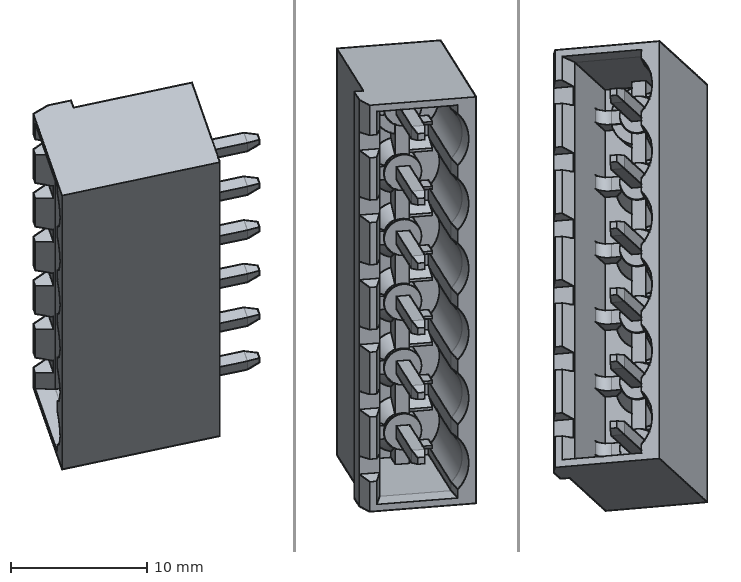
import cadquery as cq


pole_count = 6
pitch = 5.08
end_margin = 3.24
body_height = (pole_count - 1) * pitch + 2 * end_margin
body_width = 8.5
body_depth = 12.0
rail_projection = 0.7
rail_depth = 3.0
rail_chamfer_width = 0.5
rail_chamfer_depth = 1.25

cavity_depth = 9.0
mouth_depth = 1.38
cavity_left = 1.57
cavity_right = 6.91
cavity_end_wall = 0.64
mouth_flare_left = 0.54
mouth_flare_right = 0.21
mouth_flare_end = 0.1

bay_radius = 2.69
bay_center_x = 5.04
bay_start_x = 6.5

notch_mouth_width = 1.77
notch_floor_width = 1.42

pin_x = 4.62
pin_size = 1.0
pin_tip_size = 0.52
pin_tip_length = 1.0
pin_front_y = 1.17
pin_back_y = 16.0

collar_radius = 1.4
collar_height = 1.7
rib_width = 1.05
rib_height = 1.5
rib_fillet = 0.93
skirt_radius = 2.2
skirt_height = 1.35
ridge_inner = collar_radius
ridge_crest = 1.61
ridge_outer = 2.1
ridge_height = skirt_height

cavity_height = body_height - 2 * cavity_end_wall
pole_heights = [end_margin + pole * pitch for pole in range(pole_count)]
top_pole_z = pole_heights[-1]
overlap = 0.1


def box(x_range, y_range, z_range):
    """Axis-aligned box between pairs of limits."""
    return cq.Workplane("XY").box(
        x_range[1] - x_range[0],
        y_range[1] - y_range[0],
        z_range[1] - z_range[0],
        centered=False,
    ).translate((x_range[0], y_range[0], z_range[0]))


def facing_plane(x, y, z):
    """Work plane at a point, with its normal along +Y and its local axes along +X and -Z."""
    return cq.Workplane(cq.Plane(origin=(x, y, z), xDir=(1, 0, 0), normal=(0, 1, 0)))


def make_housing():
    outline = [
        (rail_chamfer_width, 0),
        (body_width, 0),
        (body_width, body_depth),
        (rail_projection, body_depth),
        (rail_projection, rail_depth),
        (0, rail_depth),
        (0, rail_chamfer_depth),
    ]
    return cq.Workplane("XY").polyline(outline).close().extrude(body_height)


def make_cavity():
    """Straight cavity plus the flared mouth that leads into it."""
    straight = box(
        (cavity_left, cavity_right),
        (0, cavity_depth),
        (cavity_end_wall, cavity_end_wall + cavity_height),
    )
    width = cavity_right - cavity_left
    mouth_width = width + mouth_flare_left + mouth_flare_right
    mouth_center_x = (cavity_left - mouth_flare_left + cavity_right + mouth_flare_right) / 2
    center_shift = (cavity_left + cavity_right) / 2 - mouth_center_x
    mouth = (
        facing_plane(mouth_center_x, 0, body_height / 2)
        .rect(mouth_width, cavity_height + 2 * mouth_flare_end)
        .workplane(offset=mouth_depth)
        .center(center_shift, 0)
        .rect(width, cavity_height)
        .loft(ruled=True)
    )
    return straight.union(mouth)


def make_bay(z):
    """Round bay with a conical mouth, kept to the right part of the cavity."""
    straight = facing_plane(bay_center_x, 0, z).circle(bay_radius).extrude(cavity_depth)
    mouth = (
        facing_plane(bay_center_x, 0, z)
        .circle(bay_radius + mouth_flare_right)
        .workplane(offset=mouth_depth)
        .circle(bay_radius)
        .loft()
    )
    right_side = box((bay_start_x, body_width), (0, cavity_depth), (z - pitch, z + pitch))
    return straight.union(mouth).intersect(right_side)


def make_notch(z):
    outline = [
        (0, z - notch_mouth_width / 2),
        (rail_chamfer_depth, z - notch_floor_width / 2),
        (rail_chamfer_depth, z + notch_floor_width / 2),
        (0, z + notch_mouth_width / 2),
    ]
    return cq.Workplane("YZ").polyline(outline).close().extrude(cavity_left)


def make_skirt(z):
    """Conical skirt left of the pin; the top pole has a plain round pad instead."""
    base = facing_plane(pin_x, cavity_depth + overlap, z).circle(skirt_radius).extrude(-overlap)
    if z == top_pole_z:
        skirt = facing_plane(pin_x, cavity_depth, z).circle(skirt_radius).extrude(-skirt_height)
    else:
        skirt = (
            facing_plane(pin_x, cavity_depth, z)
            .circle(skirt_radius)
            .workplane(offset=-skirt_height)
            .circle(collar_radius)
            .loft()
        )
    left_side = box((cavity_left, pin_x), (0, body_depth), (z - pitch, z + pitch))
    return base.union(skirt).intersect(left_side)


def make_ridge(z, side):
    """Ridge right of the pin, sloping away from it; side is +1 above the pin and -1 below."""
    crest_y = cavity_depth - ridge_height
    outline = [
        (cavity_depth + overlap, z + side * ridge_inner),
        (crest_y, z + side * ridge_inner),
        (crest_y, z + side * ridge_crest),
        (cavity_depth, z + side * ridge_outer),
        (cavity_depth + overlap, z + side * ridge_outer),
    ]
    ridge = cq.Workplane("YZ").polyline(outline).close().extrude(cavity_right - pin_x)
    return ridge.translate((pin_x, 0, 0))


def make_cross_rib(z):
    """Rib from the left wall to the pin, blending into the wall with a concave arc."""
    rib_top = cavity_depth - rib_height
    arc_middle = rib_fillet * (1 - 0.5**0.5)
    return (
        cq.Workplane("XY", origin=(0, 0, z))
        .moveTo(cavity_left, cavity_depth + overlap)
        .lineTo(cavity_left, rib_top - rib_fillet)
        .threePointArc(
            (cavity_left + arc_middle, rib_top - arc_middle),
            (cavity_left + rib_fillet, rib_top),
        )
        .lineTo(pin_x, rib_top)
        .lineTo(pin_x, cavity_depth + overlap)
        .close()
        .extrude(rib_width / 2, both=True)
    )


def make_long_rib():
    """Rib that joins all poles from end wall to end wall."""
    return box(
        (pin_x - rib_width / 2, pin_x + rib_width / 2),
        (cavity_depth - rib_height, cavity_depth + overlap),
        (cavity_end_wall, body_height - cavity_end_wall),
    )


def make_collar(z):
    base = facing_plane(pin_x, cavity_depth + overlap, z)
    return base.circle(collar_radius).extrude(-collar_height - overlap)


def make_pin(z):
    """Square pin with a tapered tip at both ends."""
    shank_front = pin_front_y + pin_tip_length
    shank_back = pin_back_y - pin_tip_length
    pin = facing_plane(pin_x, shank_front, z).rect(pin_size, pin_size).extrude(shank_back - shank_front)
    for shank_end, direction in ((shank_front, -1), (shank_back, 1)):
        tip = (
            facing_plane(pin_x, shank_end, z)
            .rect(pin_size, pin_size)
            .workplane(offset=direction * pin_tip_length)
            .rect(pin_tip_size, pin_tip_size)
            .loft(ruled=True)
        )
        pin = pin.union(tip)
    return pin


result = make_housing().cut(make_cavity())
for pole_z in pole_heights:
    result = result.cut(make_bay(pole_z)).cut(make_notch(pole_z))

result = result.union(make_long_rib())
for pole_z in pole_heights:
    result = result.union(make_skirt(pole_z)).union(make_cross_rib(pole_z))
    for ridge_side in (-1, 1):
        result = result.union(make_ridge(pole_z, ridge_side))
    result = result.union(make_collar(pole_z)).union(make_pin(pole_z))